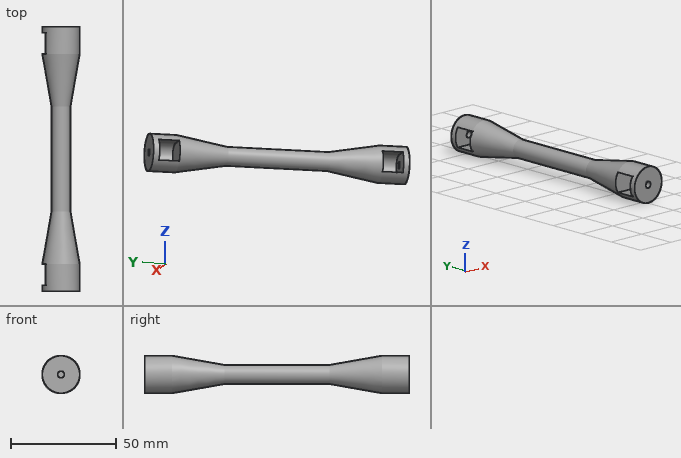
import cadquery as cq

total_length = 126.0
head_diameter = 18.0
head_length = 13.0
taper_length = 25.0
shaft_diameter = 9.2

end_wall = 3.0
pocket_width = 10.0

hole_diameter = 3.2

half_length = total_length / 2
head_radius = head_diameter / 2
shaft_radius = shaft_diameter / 2
head_inner_y = half_length - head_length
taper_inner_y = head_inner_y - taper_length
pocket_length = head_length - end_wall
pocket_outer_y = half_length - end_wall


def make_bar():
    """Revolve the half profile of the two heads, two tapers and shaft about Y."""
    return (
        cq.Workplane("YZ")
        .moveTo(-half_length, 0)
        .lineTo(-half_length, head_radius)
        .lineTo(-head_inner_y, head_radius)
        .lineTo(-taper_inner_y, shaft_radius)
        .lineTo(taper_inner_y, shaft_radius)
        .lineTo(head_inner_y, head_radius)
        .lineTo(half_length, head_radius)
        .lineTo(half_length, 0)
        .close()
        .revolve(360, (0, 0, 0), (1, 0, 0))
    )


def rod_along_y(diameter, start_y, length):
    """Cylinder on the bar axis, running from start_y towards +Y."""
    return cq.Workplane("XZ", origin=(0, start_y, 0)).circle(diameter / 2).extrude(-length)


def make_head_cavity():
    """Pocket and axial hole of the head at the +Y end."""
    round_back = rod_along_y(pocket_width, head_inner_y, pocket_length)
    opening = cq.Workplane("XY").box(head_radius, pocket_length, pocket_width).translate(
        (-head_radius / 2, (head_inner_y + pocket_outer_y) / 2, 0)
    )
    axial_hole = rod_along_y(hole_diameter, pocket_outer_y, end_wall)
    return round_back.union(opening).union(axial_hole)


cavity = make_head_cavity()
result = make_bar().cut(cavity).cut(cavity.mirror("XZ"))